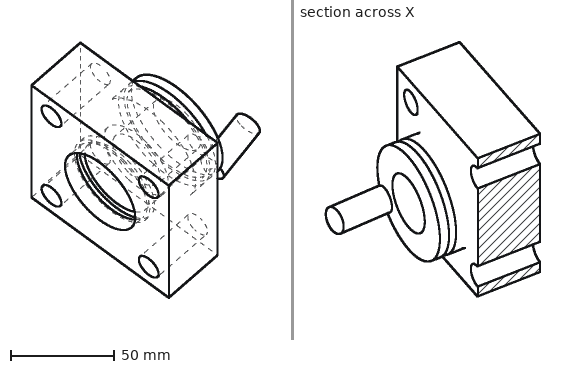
import cadquery as cq
import math

block_side = 90
block_depth = 35.0
bolt_hole_diameter = 13.0
bolt_spacing = 63.7

spigot_radius = 30.0
spigot_length = 20.0
root_fillet = 1.0
lip_length = 5.1
ring_groove_width = 4.0
ring_groove_depth = 2.5
groove_fillet = 1.0

mouth_radius = 23.0
mouth_depth = 8.55
seal_groove_radius = 24.75
seal_groove_end = 11.9
chamber_radius = 21.0
chamber_depth = 26.0
through_radius = 15.5

rod_diameter = 14.0
rod_base_x = 22.95
rod_base_z = -14.85
rod_shift_x = -4.05
rod_rise_y = 30.3
rod_shift_z = 2.9

spigot_end = block_depth + spigot_length


def cylinder(radius, start, end):
    """Cylinder about the Y axis between two depths."""
    return cq.Workplane("XZ", origin=(0, start, 0)).circle(radius).extrude(start - end)


def make_block():
    """Square block with a bolt hole near each corner."""
    block = cq.Workplane("XZ").rect(block_side, block_side).extrude(-block_depth)
    holes = (
        cq.Workplane("XZ")
        .rect(bolt_spacing, bolt_spacing, forConstruction=True)
        .vertices()
        .circle(bolt_hole_diameter / 2)
        .extrude(-block_depth)
    )
    return block.cut(holes)


def make_spigot():
    """Revolved spigot with a flared root and a round-cornered ring groove."""
    diagonal = math.sqrt(0.5)
    groove_end = spigot_end - lip_length
    groove_start = groove_end - ring_groove_width
    floor_radius = spigot_radius - ring_groove_depth
    root_mid = root_fillet * (1 - diagonal)
    groove_mid = groove_fillet * (1 - diagonal)
    profile = (
        cq.Workplane("XY")
        .moveTo(0, block_depth)
        .lineTo(spigot_radius + root_fillet, block_depth)
        .threePointArc(
            (spigot_radius + root_mid, block_depth + root_mid),
            (spigot_radius, block_depth + root_fillet),
        )
        .lineTo(spigot_radius, groove_start)
        .lineTo(floor_radius + groove_fillet, groove_start)
        .threePointArc(
            (floor_radius + groove_mid, groove_start + groove_mid),
            (floor_radius, groove_start + groove_fillet),
        )
        .lineTo(floor_radius, groove_end - groove_fillet)
        .threePointArc(
            (floor_radius + groove_mid, groove_end - groove_mid),
            (floor_radius + groove_fillet, groove_end),
        )
        .lineTo(spigot_radius, groove_end)
        .lineTo(spigot_radius, spigot_end)
        .lineTo(0, spigot_end)
        .close()
    )
    return profile.revolve(360, (0, 0, 0), (0, 1, 0))


def make_bore():
    """Mouth, seal groove, chamber and through hole as one cutter."""
    return (
        cylinder(mouth_radius, 0, mouth_depth)
        .union(cylinder(seal_groove_radius, mouth_depth, seal_groove_end))
        .union(cylinder(chamber_radius, seal_groove_end, chamber_depth))
        .union(cylinder(through_radius, chamber_depth, spigot_end))
    )


def make_rod():
    """Plain rod leaning inwards from the spigot end face."""
    axis = cq.Vector(rod_shift_x, rod_rise_y, rod_shift_z)
    base = cq.Vector(rod_base_x, spigot_end, rod_base_z)
    return cq.Workplane(cq.Solid.makeCylinder(rod_diameter / 2, axis.Length, base, axis))


result = make_block().union(make_spigot()).cut(make_bore()).union(make_rod())